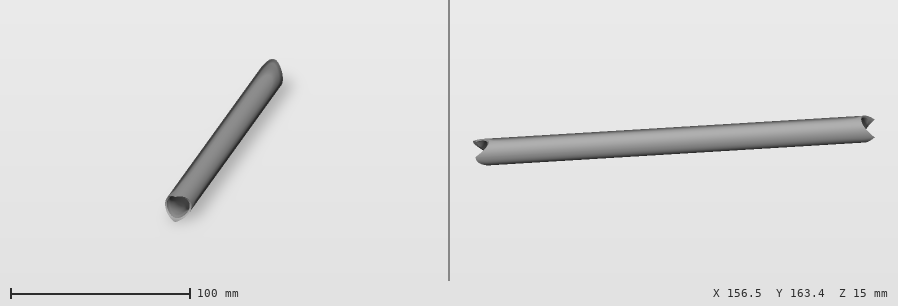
import cadquery as cq

tube_diameter = 15.0
wall = 1.0
slope_angle = 46.64
node_distance = 228.2

neighbour_radius = 8.5
neighbour_drop = 0.4
right_neighbour_angle = 60.75
left_neighbour_angle = 49.9
left_neighbour_setback = 4.91

tube_radius = tube_diameter / 2
bore_radius = tube_radius - wall
cutter_half_length = 4 * tube_diameter


def neighbour(radius, position, angle, drop=0):
    """Horizontal cylinder crossing the X axis, or passing just below it by the drop."""
    cylinder = cq.Workplane("YZ").circle(radius).extrude(cutter_half_length, both=True)
    return cylinder.rotate((0, 0, 0), (0, 0, 1), angle).translate((position, 0, -drop))


def straight_tube():
    """Tube along X, starting at the right neighbour's axis, with its seam on top."""
    end_plane = cq.Plane(origin=(0, 0, 0), xDir=(0, 0, 1), normal=(1, 0, 0))
    return cq.Workplane(end_plane).circle(tube_radius).circle(bore_radius).extrude(node_distance)


def cope_upper_end(tube):
    """Saddle the upper end over the two slightly larger tubes it meets."""
    right = neighbour(neighbour_radius, 0, right_neighbour_angle, neighbour_drop)
    left = neighbour(neighbour_radius, -left_neighbour_setback, -left_neighbour_angle, neighbour_drop)
    return tube.cut(right).cut(left)


def cope_lower_end(tube):
    """Saddle the lower end over a tube of equal diameter that mirrors this one across the YZ plane."""
    return tube.cut(neighbour(tube_radius, node_distance, 2 * slope_angle))


coped_tube = cope_lower_end(cope_upper_end(straight_tube()))

result = coped_tube.translate((-node_distance, 0, 0)).rotate((0, 0, 0), (0, 0, 1), -slope_angle)